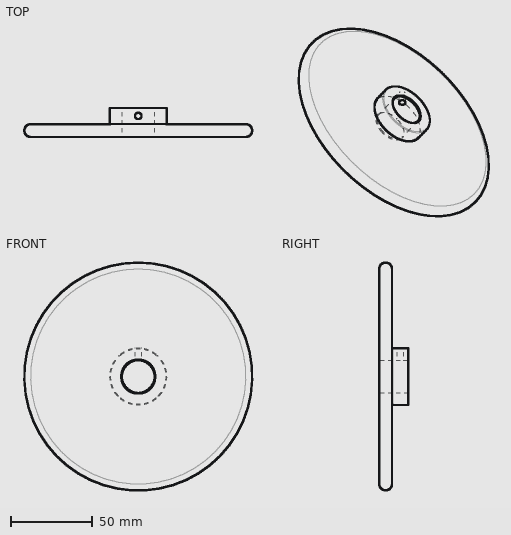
import cadquery as cq

wheel_diameter = 140.0
wheel_thickness = 8.0
hub_diameter = 35.0
hub_length = 10.0
hub_edge_radius = 0.5
bore_diameter = 20.0
bore_chamfer = 0.5
screw_diameter = 4.0

wheel_radius = wheel_diameter / 2
rim_radius = wheel_thickness / 2
face_radius = wheel_radius - rim_radius
hub_radius = hub_diameter / 2
hub_face_radius = hub_radius - hub_edge_radius
bore_radius = bore_diameter / 2
bore_mouth_radius = bore_radius + bore_chamfer
total_length = wheel_thickness + hub_length
screw_y = wheel_thickness + hub_length / 2


def make_turned_blank():
    """Disc with a full-round rim, hub with rounded ends, and a bore chamfered at both ends."""
    half_section = (
        cq.Workplane("YZ")
        .moveTo(0, bore_mouth_radius)
        .lineTo(0, face_radius)
        .threePointArc((rim_radius, wheel_radius), (wheel_thickness, face_radius))
        .lineTo(wheel_thickness, hub_face_radius)
        .radiusArc((wheel_thickness + hub_edge_radius, hub_radius), hub_edge_radius)
        .lineTo(total_length - hub_edge_radius, hub_radius)
        .radiusArc((total_length, hub_face_radius), hub_edge_radius)
        .lineTo(total_length, bore_mouth_radius)
        .lineTo(total_length - bore_chamfer, bore_radius)
        .lineTo(bore_chamfer, bore_radius)
        .close()
    )
    return half_section.revolve(360, (0, 0, 0), (1, 0, 0))


def make_set_screw():
    """Plain radial screw with a flat top level with the hub crown, trimmed to the bore."""
    shank = (
        cq.Workplane("XY")
        .center(0, screw_y)
        .circle(screw_diameter / 2)
        .extrude(hub_radius)
    )
    bore = cq.Workplane("XZ").circle(bore_radius).extrude(-total_length)
    return shank.cut(bore)


set_screw = make_set_screw()

handwheel = make_turned_blank().cut(set_screw)

result = cq.Compound.makeCompound([handwheel.val(), set_screw.val()])